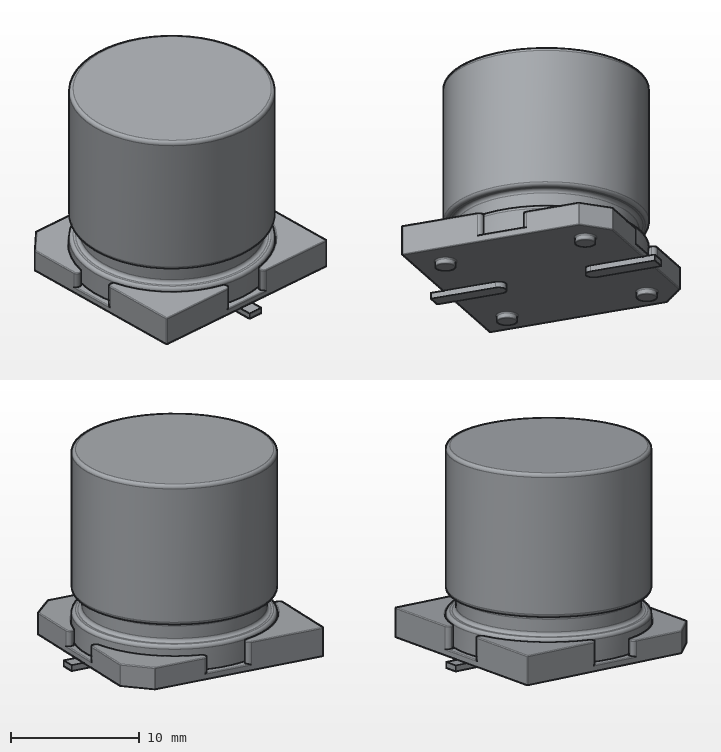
import cadquery as cq

length = 19.0
height = 16.5
base_width = 17.0
standoff = 0.5

half_base = base_width / 2
corner_cut = 2.0
edge_round = 0.08
floor_top = 1.06
low_pad_top = 2.35
high_pad_top = 2.93
gap_width = 3.48
can_clearance = 0.05
pad_tip_round = 0.35

can_radius = 16.0 / 2
neck_radius = 14.4 / 2
can_top_round = 0.3
neck_round = 0.3
bead_top = 3.2
body_bottom = 4.83

lead_width = 1.25
lead_inner_end = 3.4
foot_diameter = 1.6
foot_offset = 5.93
foot_flare = 0.1
foot_tip_round = 0.05


def base_prism(top):
    """Square block from the base underside to a given height, with both -X corners cut."""
    return (
        cq.Workplane("XY", origin=(0, 0, standoff))
        .rect(base_width, base_width)
        .extrude(top - standoff)
        .edges("|Z and <X")
        .chamfer(corner_cut)
        .edges("|Z")
        .fillet(edge_round)
    )


def make_slab():
    """Thin slab under the can, rounded along its upper and lower edges."""
    return base_prism(floor_top).faces("<Z or >Z").edges().fillet(edge_round)


def make_pad(x_side, y_side, top):
    """Corner pad: the part of the base prism outside the can and the openings."""
    quadrant_size = half_base - gap_width / 2
    centre = (half_base + gap_width / 2) / 2
    quadrant = (
        cq.Workplane("XY", origin=(x_side * centre, y_side * centre, standoff))
        .rect(quadrant_size, quadrant_size)
        .extrude(top - standoff)
    )
    bore = (
        cq.Workplane("XY", origin=(0, 0, standoff))
        .circle(can_radius + can_clearance)
        .extrude(top - standoff)
    )
    pad = base_prism(top).intersect(quadrant).cut(bore)

    inner_x = "<X" if x_side > 0 else ">X"
    inner_y = "<Y" if y_side > 0 else ">Y"
    for inner_face in (inner_x, inner_y):
        pad = pad.faces(inner_face).edges("|Z").fillet(pad_tip_round)
    return pad.faces("<Z or >Z").edges().fillet(edge_round)


def make_can():
    """Can turned about Z, with a rounded groove between bead and body."""
    blank = (
        cq.Workplane("XY", origin=(0, 0, floor_top - edge_round))
        .circle(can_radius)
        .extrude(height - floor_top + edge_round)
        .faces(">Z")
        .edges()
        .fillet(can_top_round)
    )
    ledge_radius = can_radius - neck_round
    root_radius = neck_radius + neck_round
    groove = (
        cq.Workplane("XZ")
        .moveTo(can_radius, bead_top - neck_round)
        .radiusArc((ledge_radius, bead_top), -neck_round)
        .lineTo(root_radius, bead_top)
        .radiusArc((neck_radius, bead_top + neck_round), neck_round)
        .lineTo(neck_radius, body_bottom - neck_round)
        .radiusArc((root_radius, body_bottom), neck_round)
        .lineTo(ledge_radius, body_bottom)
        .radiusArc((can_radius, body_bottom + neck_round), -neck_round)
        .lineTo(half_base, body_bottom + neck_round)
        .lineTo(half_base, bead_top - neck_round)
        .close()
        .revolve(360, (0, 0, 0), (0, 1, 0))
    )
    return blank.cut(groove)


def make_lead(side):
    """Flat lead under the base with a half-round inner end."""
    half_width = lead_width / 2
    end = side * length / 2
    round_start = side * (lead_inner_end + half_width)
    return (
        cq.Workplane("XY")
        .moveTo(end, -half_width)
        .lineTo(round_start, -half_width)
        .threePointArc((side * lead_inner_end, 0), (round_start, half_width))
        .lineTo(end, half_width)
        .close()
        .extrude(standoff)
    )


def make_foot(x, y):
    """Round foot turned about its own axis, flared where it meets the base."""
    radius = foot_diameter / 2
    return (
        cq.Workplane("XZ")
        .lineTo(radius - foot_tip_round, 0)
        .radiusArc((radius, foot_tip_round), -foot_tip_round)
        .lineTo(radius, standoff - foot_flare)
        .radiusArc((radius + foot_flare, standoff), foot_flare)
        .lineTo(0, standoff)
        .close()
        .revolve(360, (0, 0, 0), (0, 1, 0))
        .translate((x, y, 0))
    )


result = make_slab()
for y_side in (-1, 1):
    result = result.union(make_pad(-1, y_side, low_pad_top))
    result = result.union(make_pad(1, y_side, high_pad_top))
result = result.union(make_can())

for x_side in (-1, 1):
    result = result.union(make_lead(x_side))
    for y_side in (-1, 1):
        result = result.union(make_foot(x_side * foot_offset, y_side * foot_offset))